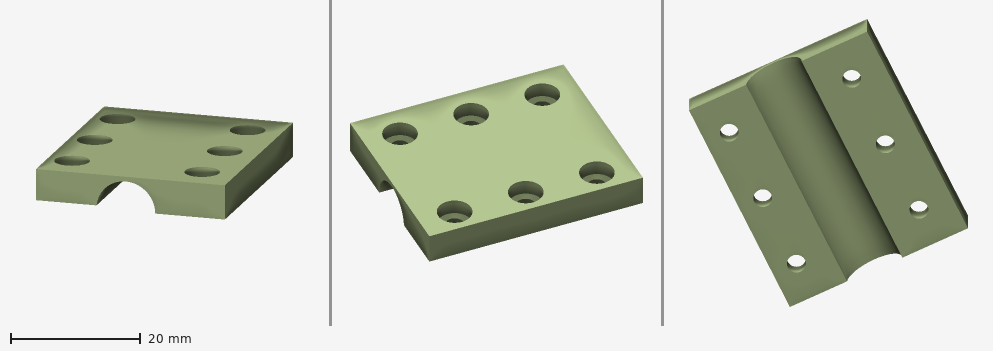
import cadquery as cq

width = 30.5
length = 36.0
height = 5.5

channel_x = 14.5
channel_radius = 4.75

relief_height = 0.5

left_column_x = 4.0
column_spacing = 21.0
row_spacing = 12.0
hole_diameter = 2.9
counterbore_diameter = 5.5
counterbore_depth = 2.5


def make_plate():
    """Plate with its left edge at X = 0, its front at Y = 0 and its bottom at Z = 0."""
    return cq.Workplane("XY").box(width, length, height, centered=False)


def cut_underside(body):
    """Cut the channel and the relief along the full length of the plate."""
    channel = (
        cq.Workplane("XZ")
        .center(channel_x, 0)
        .circle(channel_radius)
        .extrude(-length)
    )
    relief = cq.Workplane("XY").box(channel_x, length, relief_height, centered=False)
    return body.cut(channel).cut(relief)


def cut_screw_holes(body):
    """Drill the counterbored holes from the top face, with rows centred along Y."""
    centres = [
        (left_column_x + column * column_spacing, length / 2 + row * row_spacing)
        for column in (0, 1)
        for row in (-1, 0, 1)
    ]
    return (
        body.faces(">Z")
        .workplane(origin=(0, 0, height))
        .pushPoints(centres)
        .cboreHole(hole_diameter, counterbore_diameter, counterbore_depth)
    )


result = cut_screw_holes(cut_underside(make_plate()))